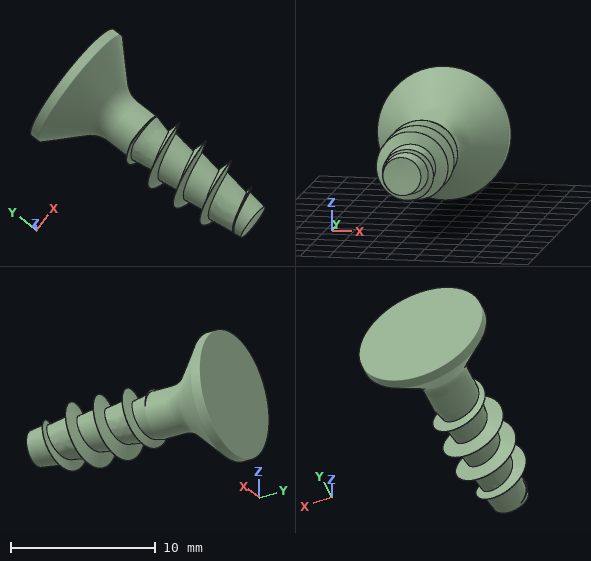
import math

import cadquery as cq

length = 16.0

head_radius = 4.65
rim_height = 0.75
rim_top_fillet = 0.06
rim_bottom_fillet = 0.08
head_half_angle = math.radians(45)
neck_fillet = 2.0

shank_radius = 1.72
shank_end = 6.18

pitch = 2.24
core_radius_high = 1.705
core_radius_low = 1.375
groove_gap = 0.04

run_in_slope = 0.25
run_in_length = pitch

tip_radius = 1.34
tip_cone_slope = 0.14
dish_radius = 1.24
dish_depth = 0.06

thread_radius = 2.5
flank_slope = math.tan(math.radians(15))
crest_width = 0.03
crest_depth = 8.18
buried_radius = 1.2

run_out_turn = -1.25
full_start_turn = 0.15
full_end_turn = 2.05
tip_turn = 3.4
ring_depth = shank_end
ring_crest_radius = 2.02
points_per_turn = 16


def revolve_about_axis(profile):
    """Revolve a profile drawn as (radius, depth) about the screw axis."""
    return profile.close().revolve(360, (0, 0, 0), (0, 1, 0)).rotate((0, 0, 0), (1, 0, 0), 90)


def make_head_and_shank():
    neck_radius = shank_radius + neck_fillet * (1 - math.cos(head_half_angle))
    neck_start = rim_height + (head_radius - neck_radius) / math.tan(head_half_angle)
    neck_end = neck_start + neck_fillet * math.sin(head_half_angle)
    neck_middle = (
        shank_radius + neck_fillet * (1 - math.cos(head_half_angle / 2)),
        neck_end - neck_fillet * math.sin(head_half_angle / 2),
    )
    profile = (
        cq.Workplane("XY")
        .lineTo(head_radius, 0)
        .lineTo(head_radius, rim_height)
        .lineTo(neck_radius, neck_start)
        .threePointArc(neck_middle, (shank_radius, neck_end))
        .lineTo(shank_radius, shank_end)
        .lineTo(0, shank_end)
    )
    body = revolve_about_axis(profile)
    rim_bottom = cq.selectors.NearestToPointSelector((0, 0, rim_height))
    body = body.edges(rim_bottom).fillet(rim_bottom_fillet)
    return body.faces("<Z").edges().fillet(rim_top_fillet)


def make_core_cutter():
    """Helical cutter that leaves the stepped core floor."""
    outer_radius = thread_radius
    turns_before = math.ceil((crest_depth - shank_end) / pitch) + 1
    start = crest_depth - turns_before * pitch
    turns = math.ceil((length - start) / pitch)
    near = start + groove_gap / 2
    far = start + pitch - groove_gap / 2
    section = [
        (outer_radius, near),
        (core_radius_high, near),
        (core_radius_low, far),
        (outer_radius, far),
    ]
    path = cq.Wire.makeHelix(pitch, turns * pitch, outer_radius, cq.Vector(0, 0, start))
    return cq.Workplane("XZ").polyline(section).close().sweep(path, isFrenet=True)


def make_core():
    half_turn = 180
    cylinder = (
        cq.Workplane("XY", origin=(0, 0, shank_end))
        .circle(core_radius_high)
        .extrude(length - shank_end)
        .rotate((0, 0, 0), (0, 0, 1), half_turn)
    )
    tip_cone = revolve_about_axis(
        cq.Workplane("XY")
        .lineTo(tip_radius + tip_cone_slope * length, 0)
        .lineTo(tip_radius, length)
        .lineTo(0, length)
    )
    run_in_end = shank_end + run_in_length
    run_in_cone = revolve_about_axis(
        cq.Workplane("XY")
        .moveTo(0, shank_end)
        .lineTo(shank_radius, shank_end)
        .lineTo(shank_radius - run_in_slope * run_in_length, run_in_end)
        .lineTo(0, run_in_end)
    )
    return cylinder.cut(make_core_cutter()).intersect(tip_cone).union(run_in_cone)


def helix_depth(turn):
    return crest_depth + turn * pitch


def thread_section(turn, depth, crest_radius):
    """Corners of the thread ridge at one place along the thread."""
    angle = 2 * math.pi * turn
    half_crest = crest_width / 2
    half_foot = half_crest + (crest_radius - buried_radius) * flank_slope
    corners = [
        (buried_radius, -half_foot),
        (crest_radius, -half_crest),
        (crest_radius, half_crest),
        (buried_radius, half_foot),
    ]
    return [
        cq.Vector(radius * math.cos(angle), radius * math.sin(angle), depth + offset)
        for radius, offset in corners
    ]


def thread_stretch(begin, end):
    """Side faces of a stretch of thread; depth and crest radius change evenly along it."""
    steps = math.ceil(points_per_turn * (end[0] - begin[0]))
    sections = []
    for step in range(steps + 1):
        share = step / steps
        station = [b + (e - b) * share for b, e in zip(begin, end)]
        sections.append(thread_section(*station))
    edges = [cq.Edge.makeSpline(list(corner_path)) for corner_path in zip(*sections)]
    return [cq.Face.makeRuledSurface(edges[i - 1], edges[i]) for i in range(len(edges))]


def end_cap(station):
    outline = cq.Wire.makePolygon(thread_section(*station), close=True)
    return cq.Face.makeFromWires(outline)


def make_thread():
    """Ridge that rises from a level ring, runs at full height and sinks in at the tip."""
    ring_end_turn = (ring_depth - crest_depth) / pitch
    stations = [
        (run_out_turn, ring_depth, shank_radius),
        (ring_end_turn, ring_depth, ring_crest_radius),
        (full_start_turn, helix_depth(full_start_turn), thread_radius),
        (full_end_turn, helix_depth(full_end_turn), thread_radius),
        (tip_turn, helix_depth(tip_turn), tip_radius),
    ]
    faces = [end_cap(stations[0]), end_cap(stations[-1])]
    for begin, end in zip(stations, stations[1:]):
        faces += thread_stretch(begin, end)
    return cq.Workplane(cq.Solid.makeSolid(cq.Shell.makeShell(faces)))


def make_tip_dish():
    """Shallow spherical hollow in the tip face."""
    sphere_radius = (dish_radius**2 + dish_depth**2) / (2 * dish_depth)
    sphere_depth = length - dish_depth + sphere_radius
    return cq.Workplane("XY", origin=(0, 0, sphere_depth)).sphere(sphere_radius)


screw = make_core().union(make_head_and_shank()).union(make_thread()).cut(make_tip_dish())
result = screw.rotate((0, 0, 0), (0, 0, 1), 90).rotate((0, 0, 0), (1, 0, 0), 90)